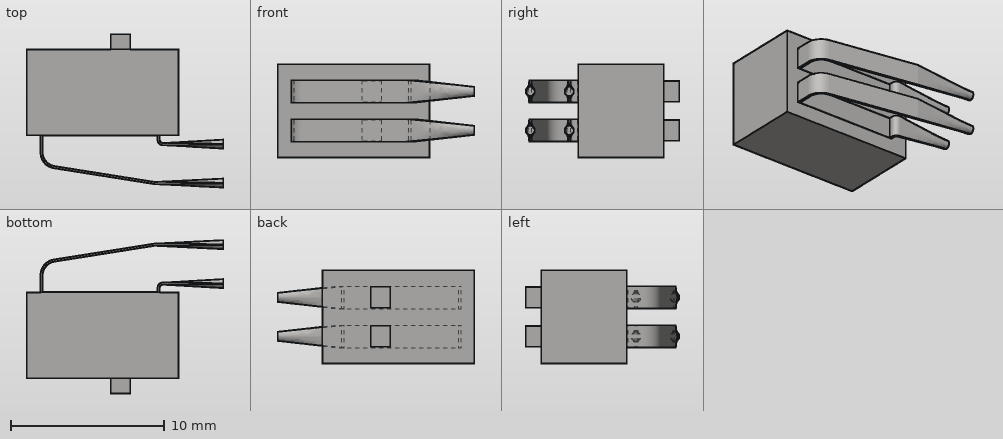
import cadquery as cq
import math

body_length = 9.9
body_depth = 5.61
body_height = 6.1

pole_pitch = 2.54
pole_heights = (-pole_pitch / 2, pole_pitch / 2)

slider_left = 5.48
slider_width = 1.28
slider_height = 1.37
slider_travel = 1.0

strip_thickness = 0.15
strip_width = 1.48
tip_diameter = 0.6
tip_end_x = 12.83
row_pitch = 2.54
overall_depth = 10.02
base_proud = 0.04

outer_pin_x = 0.9
outer_bend_radius = 1.05
outer_slope = 9.0
outer_taper_x = 8.35

inner_pin_x = 8.53
inner_bend_radius = 0.36
inner_taper_x = 8.93

outer_tip_y = -(overall_depth - body_depth - slider_travel - tip_diameter / 2)
inner_tip_y = outer_tip_y + row_pitch


def make_body():
    return cq.Workplane("XY").box(
        body_length, body_depth, body_height, centered=(False, False, True)
    )


def make_slider(z):
    """Rectangular slider rooted on the back face."""
    return (
        cq.Workplane("XY")
        .box(slider_width, slider_travel, slider_height, centered=(False, False, True))
        .translate((slider_left, body_depth, z))
    )


def make_base(z):
    """Flat part of the contact between both pins, just proud of the front face."""
    base_end_x = inner_pin_x + strip_thickness
    return (
        cq.Workplane("XY")
        .box(base_end_x - outer_pin_x, strip_thickness, strip_width, centered=(False, False, True))
        .translate((outer_pin_x, -base_proud, z))
    )


def make_bent_strip(z, left_x, bend_radius, slope, taper_x, tip_y):
    """Strip that drops from the housing, bends, and runs at a slope to the taper."""
    angle = math.radians(slope)
    inner_radius = bend_radius - strip_thickness
    middle_radius = bend_radius - strip_thickness / 2
    centre_x = left_x + bend_radius

    bend_end_x = centre_x - middle_radius * math.sin(angle)
    bend_end_y = tip_y + (taper_x - bend_end_x) * math.tan(angle)
    centre_y = bend_end_y + middle_radius * math.cos(angle)

    def on_bend(radius, direction):
        return (centre_x - radius * math.sin(direction), centre_y - radius * math.cos(direction))

    mid_bend = (angle + math.pi / 2) / 2
    half_end = strip_thickness / 2 / math.cos(angle)
    root_y = strip_thickness - base_proud
    return (
        cq.Workplane("XY", origin=(0, 0, z - strip_width / 2))
        .moveTo(left_x, root_y)
        .lineTo(left_x, centre_y)
        .threePointArc(on_bend(bend_radius, mid_bend), on_bend(bend_radius, angle))
        .lineTo(taper_x, tip_y - half_end)
        .lineTo(taper_x, tip_y + half_end)
        .lineTo(*on_bend(inner_radius, angle))
        .threePointArc(on_bend(inner_radius, mid_bend), (left_x + strip_thickness, centre_y))
        .lineTo(left_x + strip_thickness, root_y)
        .close()
        .extrude(strip_width)
    )


def make_taper(z, taper_x, tip_y, slope):
    """Transition from the flat strip section to the round pin tip."""
    end_thickness = strip_thickness / math.cos(math.radians(slope))
    return (
        cq.Workplane("YZ", origin=(taper_x, tip_y, z))
        .rect(end_thickness, strip_width)
        .workplane(offset=tip_end_x - taper_x)
        .circle(tip_diameter / 2)
        .loft(ruled=True)
    )


def make_pin(z, left_x, bend_radius, slope, taper_x, tip_y):
    strip = make_bent_strip(z, left_x, bend_radius, slope, taper_x, tip_y)
    return strip.union(make_taper(z, taper_x, tip_y, slope))


result = make_body()
for pole_z in pole_heights:
    result = (
        result.union(make_slider(pole_z))
        .union(make_base(pole_z))
        .union(make_pin(pole_z, outer_pin_x, outer_bend_radius, outer_slope, outer_taper_x, outer_tip_y))
        .union(make_pin(pole_z, inner_pin_x, inner_bend_radius, 0.0, inner_taper_x, inner_tip_y))
    )